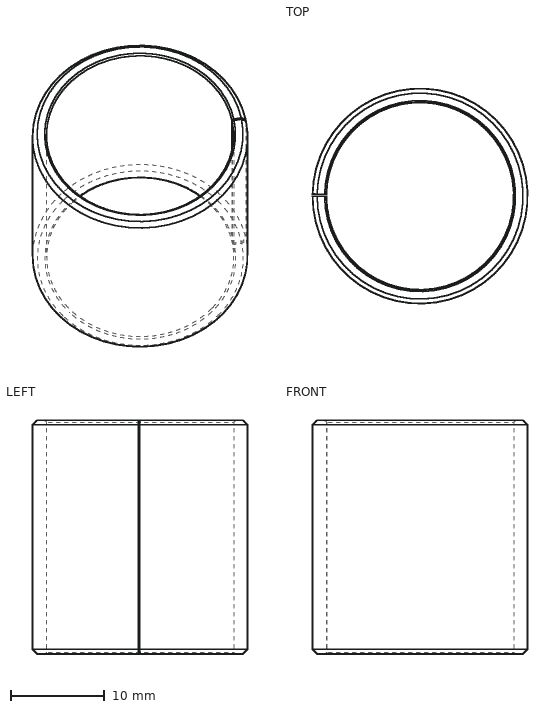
import cadquery as cq

length = 25.0
outer_diameter = 23.0
bore_diameter = 20.0
outer_chamfer = 0.5
bore_chamfer = 0.2
gap_angle = 1.0

outer_radius = outer_diameter / 2
bore_radius = bore_diameter / 2
half_length = length / 2


def make_wall_section():
    """Wall cross-section on the -X side, chamfered inside and out at both ends."""
    return (
        cq.Workplane("XZ")
        .moveTo(-bore_radius, -half_length + bore_chamfer)
        .lineTo(-bore_radius - bore_chamfer, -half_length)
        .lineTo(-outer_radius + outer_chamfer, -half_length)
        .lineTo(-outer_radius, -half_length + outer_chamfer)
        .lineTo(-outer_radius, half_length - outer_chamfer)
        .lineTo(-outer_radius + outer_chamfer, half_length)
        .lineTo(-bore_radius - bore_chamfer, half_length)
        .lineTo(-bore_radius, half_length - bore_chamfer)
        .close()
    )


result = make_wall_section().revolve(360 - gap_angle, (0, 0, 0), (0, 1, 0))